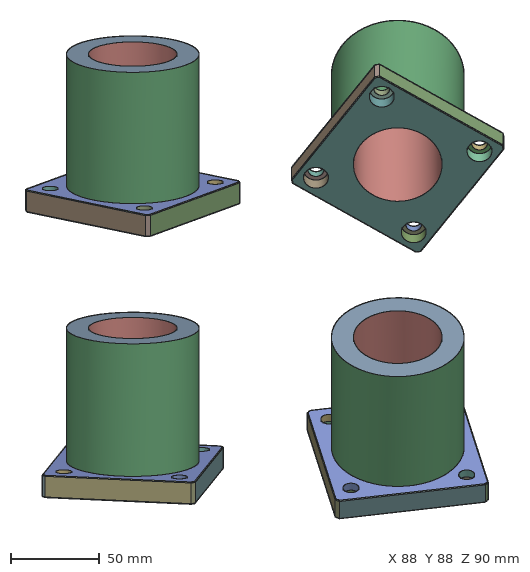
import cadquery as cq
import math

flange_side = 88.0
flange_thickness = 13.0
corner_chamfer = 2.0
edge_chamfer = 0.5

total_height = 90.0
sleeve_diameter = 75.0
bore_diameter = 50.0

hole_diameter = 9.0
bolt_circle_diameter = 94.0
hole_spacing = bolt_circle_diameter / math.sqrt(2)
counterbore_diameter = 14.0
counterbore_depth = 8.1


def make_flange():
    """Square plate with cut corners and broken top and bottom edges."""
    plate = cq.Workplane("XY").box(
        flange_side, flange_side, flange_thickness, centered=(True, True, False)
    )
    plate = plate.edges("|Z").chamfer(corner_chamfer)
    return plate.faces("<Z or >Z").edges().chamfer(edge_chamfer)


def make_sleeve():
    """Solid cylinder running the full height of the part."""
    return cq.Workplane("XY").circle(sleeve_diameter / 2).extrude(total_height)


def make_bore():
    """Cutter for the bore through the sleeve and flange."""
    return cq.Workplane("XY").circle(bore_diameter / 2).extrude(total_height)


def make_corner_cylinders(diameter, height):
    """Four cylinders rising from the bottom face, one on each hole axis."""
    return (
        cq.Workplane("XY")
        .rect(hole_spacing, hole_spacing, forConstruction=True)
        .vertices()
        .circle(diameter / 2)
        .extrude(height)
    )


def make_mounting_holes():
    """Cutters for the four through holes, counterbored from the bottom face."""
    through_holes = make_corner_cylinders(hole_diameter, flange_thickness)
    counterbores = make_corner_cylinders(counterbore_diameter, counterbore_depth)
    return through_holes.union(counterbores)


result = make_flange().union(make_sleeve()).cut(make_bore()).cut(make_mounting_holes())